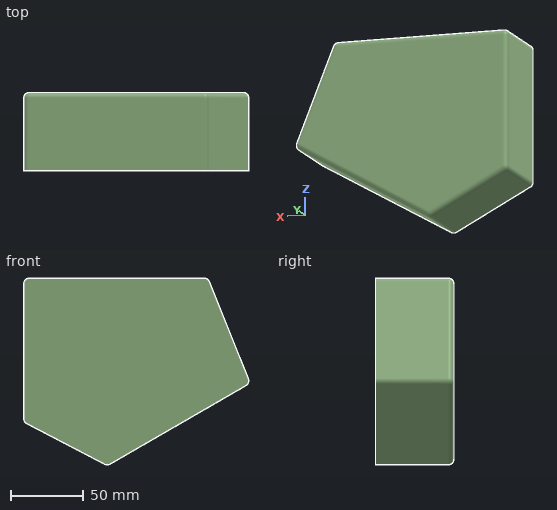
import cadquery as cq

top_length = 128.0
left_height = 100.0
lowest_corner_x = 58.15
lowest_corner_drop = 130.33
right_corner_x = 157.36
right_corner_drop = 73.0

depth = 54.5
edge_radius = 4.0


def make_block():
    """Pentagonal prism with sharp edges, its front face in the plane Y = 0."""
    corners = [
        (0, 0),
        (top_length, 0),
        (right_corner_x, -right_corner_drop),
        (lowest_corner_x, -lowest_corner_drop),
        (0, -left_height),
    ]
    return cq.Workplane("XZ").polyline(corners).close().extrude(-depth)


def round_edges(block):
    """Round the five side edges, then the rim of the back face."""
    rounded_sides = block.edges("|Y").fillet(edge_radius)
    return rounded_sides.faces(">Y").edges().fillet(edge_radius)


result = round_edges(make_block())